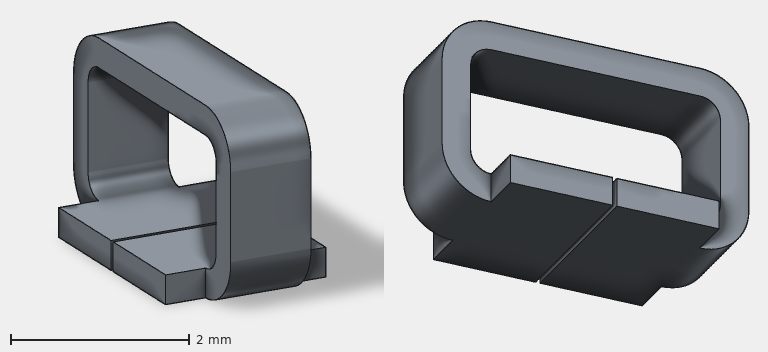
import cadquery as cq

loop_length = 3.81
loop_height = 2.29
strip_width = 1.017
strip_thickness = 0.355
bend_radius = 0.61
foot_width = 2.03
foot_gap = 0.055

inner_length = loop_length - 2 * strip_thickness
inner_height = loop_height - 2 * strip_thickness
inner_radius = bend_radius - strip_thickness
flat_length = loop_length - 2 * bend_radius
foot_z = (strip_thickness - loop_height) / 2


def rounded_block(length, height, radius):
    """Block centred on the origin with its four edges along Y rounded."""
    return cq.Workplane("XY").box(length, strip_width, height).edges("|Y").fillet(radius)


outside = rounded_block(loop_length, loop_height, bend_radius)
opening = rounded_block(inner_length, inner_height, inner_radius)
loop = outside.cut(opening)

feet = cq.Workplane("XY").box(flat_length, foot_width, strip_thickness).translate((0, 0, foot_z))

gap = cq.Workplane("XY").box(foot_gap, foot_width, strip_thickness).translate((0, 0, foot_z))

result = loop.union(feet).cut(gap)